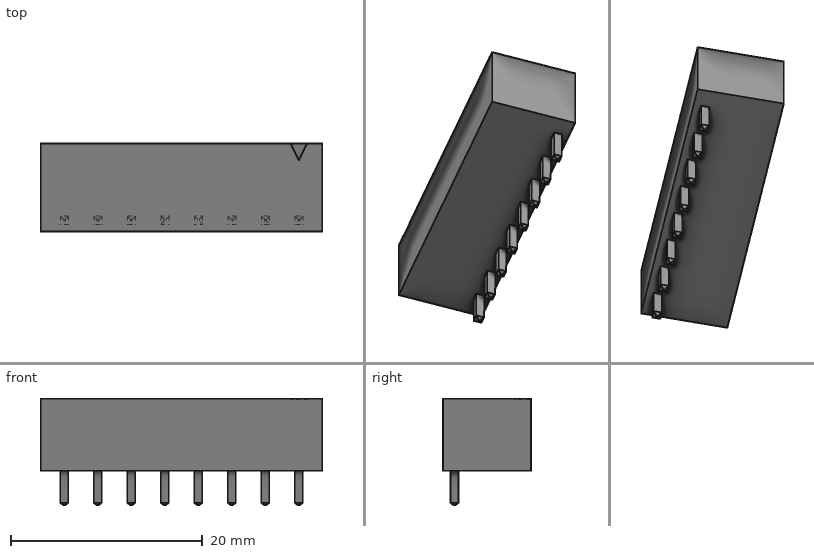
import cadquery as cq

HOUSING_LENGTH = 29.4
HOUSING_WIDTH = 9.2
TOTAL_HEIGHT = 11.15
HOUSING_HEIGHT = 7.55

PIN_COUNT = 8
PIN_PITCH = 3.5
PIN_SIZE = 0.85
PIN_LENGTH = TOTAL_HEIGHT - HOUSING_HEIGHT
PIN_TIP_LENGTH = 0.3
PIN_TIP_SIZE = 0.18
PIN_SHAFT_LENGTH = PIN_LENGTH - PIN_TIP_LENGTH
PIN_ROW_FROM_FRONT = 1.2

PIN_ROW_Y = PIN_ROW_FROM_FRONT - HOUSING_WIDTH / 2
FIRST_PIN_X = -PIN_PITCH * (PIN_COUNT - 1) / 2

MARK_X = -FIRST_PIN_X
MARK_WIDTH = 1.73
MARK_LENGTH = 1.75
MARK_DEPTH = 0.1


def make_housing():
    """Plain block with the triangular mark cut into its top face."""
    block = cq.Workplane("XY").box(
        HOUSING_LENGTH, HOUSING_WIDTH, HOUSING_HEIGHT, centered=(True, True, False)
    )
    back_y = HOUSING_WIDTH / 2
    mark = (
        cq.Workplane("XY", origin=(MARK_X, back_y, HOUSING_HEIGHT - MARK_DEPTH))
        .moveTo(-MARK_WIDTH / 2, 0)
        .lineTo(0, -MARK_LENGTH)
        .lineTo(MARK_WIDTH / 2, 0)
        .close()
        .extrude(MARK_DEPTH)
    )
    return block.cut(mark)


def make_pin(x):
    """Square pin hanging from the housing underside, ending in a blunt pyramid tip."""
    shaft = (
        cq.Workplane("XY", origin=(x, PIN_ROW_Y, 0))
        .rect(PIN_SIZE, PIN_SIZE)
        .extrude(-PIN_SHAFT_LENGTH)
    )
    tip = (
        cq.Workplane("XY", origin=(x, PIN_ROW_Y, -PIN_SHAFT_LENGTH))
        .rect(PIN_SIZE, PIN_SIZE)
        .workplane(offset=-PIN_TIP_LENGTH)
        .rect(PIN_TIP_SIZE, PIN_TIP_SIZE)
        .loft(ruled=True)
    )
    return shaft.union(tip)


housing = make_housing()
pins = [make_pin(FIRST_PIN_X + PIN_PITCH * index) for index in range(PIN_COUNT)]

result = cq.Compound.makeCompound([housing.val(), *[pin.val() for pin in pins]])